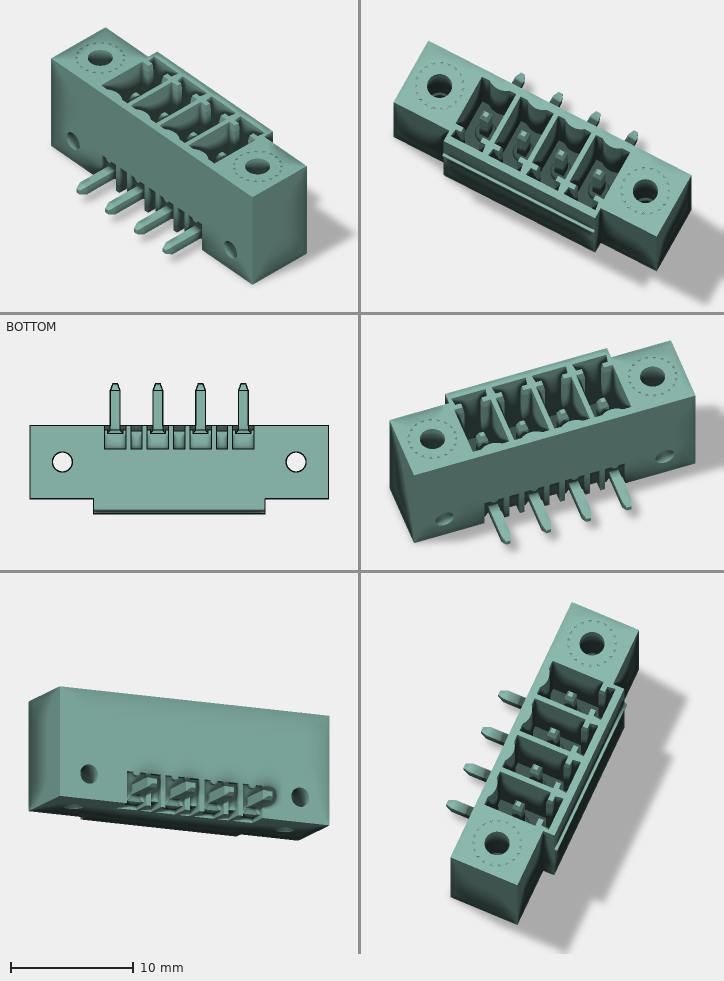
import cadquery as cq
import math


length = 24.4
height = 9.2
flange_depth = 6.0
block_width = 14.03
block_depth = 7.0
back_edge_radius = 0.2

ridge_reach = 0.25
ridge_bottom = 5.65
ridge_top = 6.03
ridge_edge_radius = 0.12

pole_count = 4
pitch = 3.5
pole_xs = [(i - (pole_count - 1) / 2) * pitch for i in range(pole_count)]
contact_y = flange_depth / 2

socket_floor = 3.0
socket_depth = height - socket_floor
socket_half_width = 1.54
end_socket_extra = 0.1
socket_front = 0.65
wall_draft = 0.07
draft_angle = math.degrees(math.atan(wall_draft / socket_depth))
bulge_width = 1.8
bulge_height = 0.32

rib_front = 5.12
rib_back = 5.65
rib_gap = 1.59
rib_bevel = 0.1
rib_bevel_height = 0.6
slot_back = 6.37
slot_front_width = 2.75
slot_back_width = 2.98

screw_x = 9.55
screw_diameter = 1.6
counterbore_diameter = 2.05
counterbore_depth = 4.88
cross_hole_z = 2.1

mark_count = 19
mark_inner_radius = 1.8
mark_outer_radius = 2.03
mark_width = 0.35
mark_depth = 0.07

pin_side = 0.8
pin_tip_side = 0.4
pin_tip_length = 0.55
pin_z = 1.22
pin_reach = 3.4
pin_top = 7.95
collar_diameter = 1.8
collar_height = 0.4
collar_rounding = 0.25

recess_top = 2.7
pin_recess_width = 1.75
pin_recess_depth = 0.4
knob_radius = 0.3
relief_top = pin_z - pin_side / 2
relief_bottom = 0.37
relief_bottom_width = 1.25
relief_slope_depth = 0.27
gap_recess_width = 0.9
gap_recess_depth = 0.5
gap_undercut_height = 0.51
undercut_depth = 1.95


def box(x_mid, width, y_min, y_max, z_min, z_max):
    """Block centred on x_mid, spanning the given Y and Z ranges."""
    size = (width, y_max - y_min, z_max - z_min)
    return cq.Workplane("XY").box(*size, centered=(True, False, False)).translate((x_mid, y_min, z_min))


def make_housing():
    flanges = box(0, length, 0, flange_depth, 0, height)
    block = box(0, block_width, 0, block_depth, 0, height)
    block = block.edges(">Y and <Z").fillet(back_edge_radius)
    ridge = box(0, block_width, block_depth - ridge_reach, block_depth + ridge_reach, ridge_bottom, ridge_top)
    ridge = ridge.edges(">Y and <Z").fillet(ridge_edge_radius)
    return flanges.union(block).union(ridge)


def make_socket(left, right):
    """Drafted contact chamber with a bulged front wall, plus the coding slot behind it."""
    chamber = (
        cq.Workplane("XY")
        .workplane(offset=height)
        .moveTo(-left, rib_back)
        .lineTo(-left, socket_front)
        .lineTo(-bulge_width / 2, socket_front)
        .threePointArc((0, socket_front + bulge_height), (bulge_width / 2, socket_front))
        .lineTo(right, socket_front)
        .lineTo(right, rib_back)
        .close()
        .extrude(-socket_depth, taper=draft_angle)
    )
    slot = (
        cq.Workplane("XY")
        .workplane(offset=socket_floor)
        .moveTo(-slot_front_width / 2, rib_back)
        .lineTo(-slot_back_width / 2, slot_back)
        .lineTo(slot_back_width / 2, slot_back)
        .lineTo(slot_front_width / 2, rib_back)
        .close()
        .extrude(socket_depth)
    )
    chamber = chamber.cut(make_rib_face(left + right))
    return chamber.union(slot).union(make_rib_entry())


def make_rib_face(width):
    """Material behind the chamber whose front face leans back near the top."""
    return (
        cq.Workplane("YZ")
        .moveTo(rib_front, socket_floor)
        .lineTo(rib_front, height - rib_bevel_height)
        .lineTo(rib_front + rib_bevel, height)
        .lineTo(rib_back, height)
        .lineTo(rib_back, socket_floor)
        .close()
        .extrude(width, both=True)
    )


def make_rib_entry():
    """Gap between the two ribs, flaring open near the top."""
    top_half_gap = rib_gap / 2 + rib_bevel
    return (
        cq.Workplane("XZ", origin=(0, rib_back, 0))
        .moveTo(-rib_gap / 2, socket_floor)
        .lineTo(rib_gap / 2, socket_floor)
        .lineTo(rib_gap / 2, height - rib_bevel_height)
        .lineTo(top_half_gap, height)
        .lineTo(-top_half_gap, height)
        .lineTo(-rib_gap / 2, height - rib_bevel_height)
        .close()
        .extrude(rib_back - contact_y)
    )


def make_pin():
    """Bent square pin with a solder tail; a collar at its foot sits half sunk in the socket floor."""
    upright = box(0, pin_side, contact_y - pin_side / 2, contact_y + pin_side / 2, pin_z, pin_top - pin_tip_length)
    tail = box(0, pin_side, pin_tip_length - pin_reach, contact_y, pin_z - pin_side / 2, pin_z + pin_side / 2)
    upright_tip = make_tip(upright.faces(">Z"))
    tail_tip = make_tip(tail.faces("<Y"))
    collar = (
        cq.Workplane("XY", origin=(0, contact_y, socket_floor - collar_height))
        .circle(collar_diameter / 2)
        .extrude(2 * collar_height)
        .faces(">Z")
        .edges()
        .fillet(collar_rounding)
    )
    return upright.union(tail).union(upright_tip).union(tail_tip).union(collar)


def make_tip(end_face):
    """Blunt pyramid standing on the square end of a pin."""
    return (
        end_face.workplane(centerOption="CenterOfMass")
        .rect(pin_side, pin_side)
        .workplane(offset=pin_tip_length)
        .rect(pin_tip_side, pin_tip_side)
        .loft(combine=False)
    )


def make_pin_recess():
    """Shallow recess around a solder tail, with a hanging knob, a sloped relief and an undercut."""
    recess = box(0, pin_recess_width, 0, pin_recess_depth, 0, recess_top)
    knob = cq.Workplane("XZ", origin=(0, 0, recess_top)).circle(knob_radius).extrude(-pin_recess_depth)
    undercut = box(0, pin_recess_width, 0, undercut_depth, 0, relief_bottom)
    slope = (
        cq.Workplane("YZ")
        .moveTo(0, relief_bottom)
        .lineTo(pin_recess_depth + relief_slope_depth, relief_bottom)
        .lineTo(pin_recess_depth, relief_top)
        .lineTo(0, relief_top)
        .close()
        .extrude(relief_bottom_width / 2, both=True)
    )
    flare = (
        cq.Workplane("XZ")
        .moveTo(-relief_bottom_width / 2, relief_bottom)
        .lineTo(relief_bottom_width / 2, relief_bottom)
        .lineTo(pin_side / 2, relief_top)
        .lineTo(-pin_side / 2, relief_top)
        .close()
        .extrude(-undercut_depth)
    )
    return recess.cut(knob).union(undercut).union(slope.intersect(flare))


def make_gap_recess():
    """Recess between two solder tails, deeper along the underside."""
    recess = box(0, gap_recess_width, 0, gap_recess_depth, 0, recess_top)
    return recess.union(box(0, gap_recess_width, 0, undercut_depth, 0, gap_undercut_height))


def make_flange_cut():
    """Counterbored screw hole, the cross hole from the front and the ring of marks."""
    screw = cq.Workplane("XY").circle(screw_diameter / 2).extrude(height)
    counterbore = (
        cq.Workplane("XY")
        .workplane(offset=height - counterbore_depth)
        .circle(counterbore_diameter / 2)
        .extrude(counterbore_depth)
    )
    cross_hole = cq.Workplane("XZ", origin=(0, 0, cross_hole_z)).circle(screw_diameter / 2).extrude(contact_y)
    marks = (
        cq.Workplane("XY")
        .workplane(offset=height - mark_depth)
        .polarArray(0, 0, 360, mark_count)
        .eachpoint(make_mark, combine=False)
    )
    return screw.union(counterbore).union(cross_hole).union(marks)


def make_mark(location):
    """Triangle pointing at the screw hole axis."""
    mark = (
        cq.Workplane("XY")
        .moveTo(mark_inner_radius, 0)
        .lineTo(mark_outer_radius, mark_width / 2)
        .lineTo(mark_outer_radius, -mark_width / 2)
        .close()
        .extrude(mark_depth)
    )
    return mark.val().located(location)


result = make_housing()

for index, x in enumerate(pole_xs):
    left_extra = end_socket_extra if index == 0 else 0
    right_extra = end_socket_extra if index == pole_count - 1 else 0
    socket = make_socket(socket_half_width + left_extra, socket_half_width + right_extra)
    result = result.cut(socket.translate((x, 0, 0)))
    result = result.cut(make_pin_recess().translate((x, 0, 0)))

for x in pole_xs[:-1]:
    result = result.cut(make_gap_recess().translate((x + pitch / 2, 0, 0)))

flange_cut = make_flange_cut().translate((-screw_x, contact_y, 0))
result = result.cut(flange_cut).cut(flange_cut.mirror("YZ"))

for x in pole_xs:
    result = result.union(make_pin().translate((x, 0, 0)))